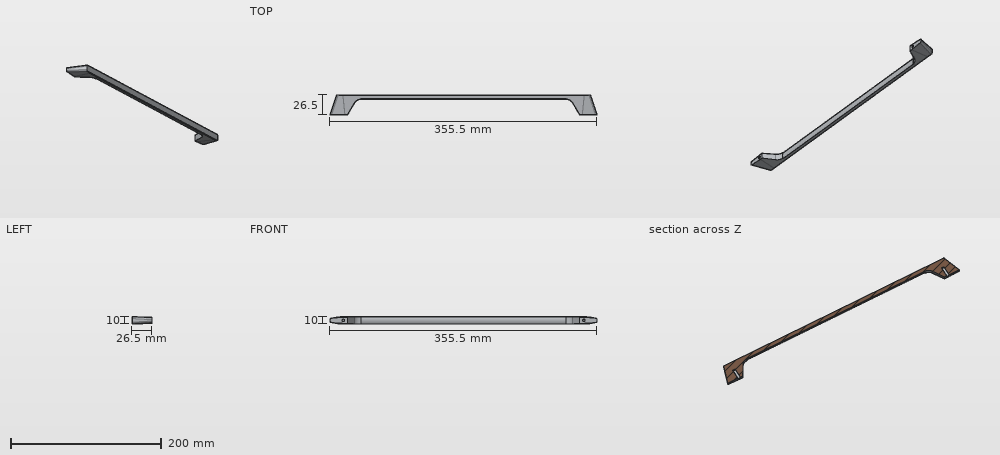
import cadquery as cq
import math

length = 355.5
depth = 26.5
height = 10.0
front_y = -depth / 2
back_y = depth / 2

bar_depth = 6.0
back_inset = 9.0
foot_width = 23.5
arm_lean = 30.5
inner_radius = 10.0

foot_half_height = 4.1
tip_half_height = 3.0
crease_back_inset = 16.7
crease_front_inset = 20.0
tip_edge_radius = 2.0

bar_bulge = 1.0
back_edge_bevel = 0.9

pick_margin = 1.5

hole_spacing = 320.0
hole_diameter = 3.2
hole_depth = 14.2

half_length = length / 2
bar_front_y = back_y - bar_depth
arm_run = (depth - bar_depth) * math.tan(math.radians(arm_lean))
inner_corner_x = half_length - foot_width - arm_run
bend_angle = 90 - arm_lean
bend_tangent = inner_radius * math.tan(math.radians(bend_angle / 2))
bar_end_x = inner_corner_x - bend_tangent


def make_outline():
    """Bridge shape with leaning feet and rounded inner bends."""
    points = [
        (-half_length, front_y),
        (-half_length + back_inset, back_y),
        (half_length - back_inset, back_y),
        (half_length, front_y),
        (half_length - foot_width, front_y),
        (inner_corner_x, bar_front_y),
        (-inner_corner_x, bar_front_y),
        (-half_length + foot_width, front_y),
    ]
    body = cq.Workplane("XY").polyline(points).close().extrude(height / 2, both=True)
    bends = cq.selectors.BoxSelector(
        (-inner_corner_x - pick_margin, bar_front_y - pick_margin, -height),
        (inner_corner_x + pick_margin, bar_front_y + pick_margin, height),
    )
    return body.edges("|Z").edges(bends).fillet(inner_radius)


def make_thickness_wedge():
    """Full-length wedge, thickest at its bevelled back and thinner at the foot ends."""
    points = [
        (front_y, -foot_half_height),
        (back_y - back_edge_bevel, -height / 2),
        (back_y, -height / 2 + back_edge_bevel),
        (back_y, height / 2 - back_edge_bevel),
        (back_y - back_edge_bevel, height / 2),
        (front_y, foot_half_height),
    ]
    return cq.Workplane("YZ").polyline(points).close().extrude(half_length, both=True)


def make_tip_cutter():
    """Block above the sloping face between the crease and the right foot tip."""
    crease_front = cq.Vector(half_length - crease_front_inset, front_y, foot_half_height)
    crease_back = cq.Vector(half_length - crease_back_inset, back_y, height / 2)
    tip = cq.Vector(half_length, front_y, tip_half_height)
    across = tip - crease_front
    normal = across.cross(crease_back - crease_front)
    face = cq.Plane(origin=crease_front, xDir=across, normal=normal)
    reach = 3 * depth
    return cq.Workplane(face).rect(reach, reach).extrude(height)


def make_bar_rounding_cutter():
    """Cutter that leaves a convex front face on the straight bar."""
    edge_z = foot_half_height + (height / 2 - foot_half_height) * (depth - bar_depth) / depth
    return (
        cq.Workplane("YZ")
        .moveTo(bar_front_y + bar_bulge, -edge_z)
        .threePointArc((bar_front_y, 0), (bar_front_y + bar_bulge, edge_z))
        .lineTo(bar_front_y - bar_bulge, edge_z + bar_bulge)
        .lineTo(bar_front_y - bar_bulge, -edge_z - bar_bulge)
        .close()
        .extrude(bar_end_x, both=True)
    )


def mirror_to_four(cutter):
    """The cutter at both ends of the handle, above and below."""
    pair = [cutter, cutter.mirror("XY")]
    return pair + [item.mirror("YZ") for item in pair]


result = make_outline().intersect(make_thickness_wedge())
for tip_cutter in mirror_to_four(make_tip_cutter()):
    result = result.cut(tip_cutter)

for end_x in (-half_length, half_length):
    end_edges = cq.selectors.BoxSelector(
        (end_x - back_inset / 2 - pick_margin, -pick_margin, -height),
        (end_x + back_inset / 2 + pick_margin, pick_margin, height),
    )
    result = result.edges(end_edges).edges("not |Z").fillet(tip_edge_radius)

result = result.cut(make_bar_rounding_cutter())

result = result.cut(
    cq.Workplane("XZ", origin=(0, front_y, 0))
    .pushPoints([(-hole_spacing / 2, 0), (hole_spacing / 2, 0)])
    .circle(hole_diameter / 2)
    .extrude(-hole_depth)
)